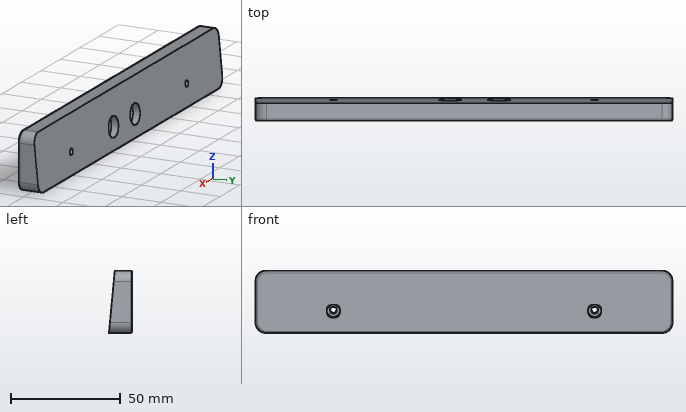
import cadquery as cq
import math

length = 190
height = 28.5
base_depth = 10.6
top_depth = 8.0
corner_radius = 5.0
front_edge_radius = 1.0

screw_spacing = 119.0
screw_height = 10.8
screw_diameter = 3.0
screw_head_diameter = 6.0
screw_head_seat = 4.8
through_depth = 2 * base_depth

pocket_positions = (-6.3, 16.0)
pocket_diameter = 10.0
pocket_height = screw_height
pocket_depth = 3.6


slope_angle = math.atan((base_depth - top_depth) / height)
back_normal = cq.Vector(0, math.cos(slope_angle), math.sin(slope_angle))


def back_face_point(x, z):
    """Point on the sloped back face at the given length and height."""
    return cq.Vector(x, base_depth - z * math.tan(slope_angle), z)


def cylinder_along_normal(x, z, diameter, start, end):
    """Cylinder on the back-face normal through (x, z), from start to end measured into the bar."""
    origin = back_face_point(x, z) - back_normal * start
    return cq.Solid.makeCylinder(diameter / 2, end - start, origin, -back_normal)


def rounded_bar():
    """Wedge-section bar with rounded corners and a softened front rim."""
    section = [(0, 0), (base_depth, 0), (top_depth, height), (0, height)]
    wedge = cq.Workplane("YZ").polyline(section).close().extrude(length / 2, both=True)
    block = cq.Workplane("XY").box(length, base_depth, height, centered=(True, False, False))
    block = block.edges("|Y").fillet(corner_radius)
    block = block.faces("<Y").edges().fillet(front_edge_radius)
    return block.intersect(wedge)


result = rounded_bar()

for x in (-screw_spacing / 2, screw_spacing / 2):
    result = result.cut(cylinder_along_normal(x, screw_height, screw_diameter, 0, through_depth))
    result = result.cut(
        cylinder_along_normal(x, screw_height, screw_head_diameter, screw_head_seat, through_depth)
    )

for x in pocket_positions:
    result = result.cut(cylinder_along_normal(x, pocket_height, pocket_diameter, 0, pocket_depth))